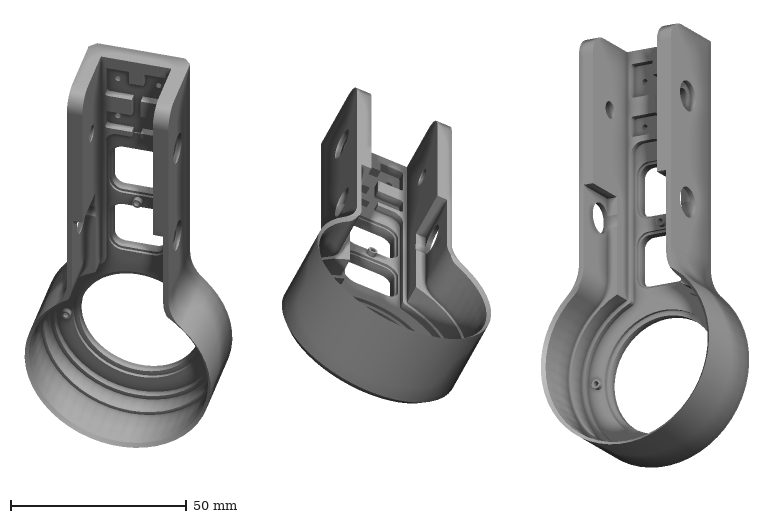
import cadquery as cq
import math


TOTAL_HEIGHT = 125.5
DEPTH = 25.5
RING_RADIUS = 27.5
ARM_WIDTH = 30.0
ARM_HALF_WIDTH = ARM_WIDTH / 2
ARM_TOP = TOTAL_HEIGHT - RING_RADIUS
NECK_RADIUS = 12.5
BACK_CHAMFER = 2.0
WALL_CORNER_RADIUS = 6.0

SHELL_ARM_WALL = 1.5
SHELL_RING_WALL = 1.0
SHELL_NECK_RADIUS = 10.0
SHELL_FLOOR = 11.4
SHELL_TOP = 52.6
CAVITY_HALF_WIDTH = 10.4
CAVITY_RADIUS = 25.5
CAVITY_FLOOR = 5.5
RECESS_MARGIN = 1.3
RECESS_DEPTH = 2.0
RECESS_FLOOR = CAVITY_FLOOR - RECESS_DEPTH
RECESS_TOP = 70.4
RECESS_CORNER_RADIUS = 3.5

OPENING_DIAMETER = 35.3
OPENING_STEP_DIAMETER = 38.3
OPENING_STEP_DEPTH = 1.0

WINDOW_SIZE = 15.5
WINDOW_CORNER_RADIUS = 3.3
WINDOW_STEP = 0.8
WINDOW_STEP_DEPTH = 0.8
WINDOW_HEIGHTS = (35.0, 56.1)

BOSS_DIAMETER = 2.8
BOSS_LENGTH = 1.5
BOSS_END = RECESS_FLOOR + BOSS_LENGTH
PILOT_DIAMETER = 1.6
PILOT_DEPTH = 3.0
BOSS_SIDE_OFFSET = 21.0
BOSS_ARM_HEIGHT = sum(WINDOW_HEIGHTS) / len(WINDOW_HEIGHTS)

POCKET_DEPTH = 2.4
POCKET_FLOOR = CAVITY_FLOOR - POCKET_DEPTH
POCKET_CORNER_RADIUS = 0.8
UPPER_POCKET = (84.0, 94.1)
LOWER_POCKET = (72.2, 78.3)
CHANNEL_WIDTH = 2.6
TAB_WIDTH = 4.3
TAB_LENGTH = 4.3
PIN_HOLE_DIAMETER = 1.8
PIN_HOLE_DEPTH = 2.0
PIN_HOLE_OFFSET = 6.0
PIN_HOLE_HEIGHTS = (75.3, 89.0)

CROSS_HOLE_DEPTH = 15.5
BOLT_HEIGHT = 77.5
BOLT_DIAMETER = 5.1
BOLT_HEAD_DIAMETER = 9.0
BOLT_HEAD_DEPTH = 1.5
PASSAGE_HEIGHT = BOSS_ARM_HEIGHT
PASSAGE_DIAMETER = 9.0


def plane_at(depth):
    """Sketch plane parallel to the back face, with local axes +X and +Z, extruding toward -Y."""
    return cq.Workplane("XZ", origin=(0, -depth, 0))


def block(half_width, bottom, top, start, end):
    """Symmetric box between two heights and two depths."""
    return (
        plane_at(start)
        .center(0, (bottom + top) / 2)
        .rect(2 * half_width, top - bottom)
        .extrude(end - start)
    )


def cylinders(points, diameter, start, end):
    """Cylinders along Y between two depths, one at each (x, z) point."""
    return plane_at(start).pushPoints(points).circle(diameter / 2).extrude(end - start)


def necked_outline(half_width, ring_radius, neck_radius, top, depth):
    """Ring and arm blended by concave neck arcs that are tangent to both."""
    neck_x = half_width + neck_radius
    neck_z = math.sqrt((ring_radius + neck_radius) ** 2 - neck_x**2)
    to_ring = ring_radius / (ring_radius + neck_radius)
    ring_x = neck_x * to_ring
    ring_z = neck_z * to_ring
    half_sweep = math.atan2(neck_z, neck_x) / 2
    mid_x = neck_x - neck_radius * math.cos(half_sweep)
    mid_z = neck_z - neck_radius * math.sin(half_sweep)
    return (
        plane_at(depth)
        .moveTo(-half_width, top)
        .lineTo(-half_width, neck_z)
        .threePointArc((-mid_x, mid_z), (-ring_x, ring_z))
        .threePointArc((0, -ring_radius), (ring_x, ring_z))
        .threePointArc((mid_x, mid_z), (half_width, neck_z))
        .lineTo(half_width, top)
        .close()
    )


def keyhole_outline(half_width, ring_radius, top, depth):
    """Ring and arm meeting at sharp corners."""
    corner_z = math.sqrt(ring_radius**2 - half_width**2)
    return (
        plane_at(depth)
        .moveTo(-half_width, top)
        .lineTo(-half_width, corner_z)
        .threePointArc((0, -ring_radius), (half_width, corner_z))
        .lineTo(half_width, top)
        .close()
    )


def make_body():
    body = necked_outline(ARM_HALF_WIDTH, RING_RADIUS, NECK_RADIUS, ARM_TOP, 0).extrude(DEPTH)
    return body.edges(">Y and (not >Z)").chamfer(BACK_CHAMFER)


def make_interior():
    """Cavity, thin-walled shell zone and floor recess."""
    shell = necked_outline(
        ARM_HALF_WIDTH - SHELL_ARM_WALL,
        RING_RADIUS - SHELL_RING_WALL,
        SHELL_NECK_RADIUS,
        SHELL_TOP,
        SHELL_FLOOR,
    ).extrude(DEPTH - SHELL_FLOOR)
    cavity = keyhole_outline(CAVITY_HALF_WIDTH, CAVITY_RADIUS, ARM_TOP, CAVITY_FLOOR).extrude(
        DEPTH - CAVITY_FLOOR
    )
    recess = (
        keyhole_outline(CAVITY_HALF_WIDTH, CAVITY_RADIUS, RECESS_TOP + RECESS_MARGIN, RECESS_FLOOR)
        .offset2D(-RECESS_MARGIN)
        .extrude(RECESS_DEPTH)
        .edges("|Y and >Z")
        .fillet(RECESS_CORNER_RADIUS)
    )
    return cavity.union(shell).union(recess)


def make_opening():
    bore = cylinders([(0, 0)], OPENING_DIAMETER, 0, RECESS_FLOOR)
    step = cylinders([(0, 0)], OPENING_STEP_DIAMETER, RECESS_FLOOR - OPENING_STEP_DEPTH, RECESS_FLOOR)
    return bore.union(step)


def make_window(height):
    half = WINDOW_SIZE / 2
    hole = block(half, height - half, height + half, 0, RECESS_FLOOR)
    hole = hole.edges("|Y").fillet(WINDOW_CORNER_RADIUS)
    half += WINDOW_STEP
    step = block(half, height - half, height + half, RECESS_FLOOR - WINDOW_STEP_DEPTH, RECESS_FLOOR)
    step = step.edges("|Y").fillet(WINDOW_CORNER_RADIUS + WINDOW_STEP)
    return hole.union(step)


def boss_points():
    return [(-BOSS_SIDE_OFFSET, 0), (BOSS_SIDE_OFFSET, 0), (0, BOSS_ARM_HEIGHT)]


def make_bosses():
    return cylinders(boss_points(), BOSS_DIAMETER, RECESS_FLOOR, BOSS_END)


def make_pilot_holes():
    return cylinders(boss_points(), PILOT_DIAMETER, BOSS_END - PILOT_DEPTH, BOSS_END)


def make_rim_bevel():
    """Cone that bevels the inner edge of the ring's front rim out to a sharp edge."""
    return (
        plane_at(DEPTH)
        .circle(RING_RADIUS)
        .workplane(offset=-SHELL_RING_WALL)
        .circle(RING_RADIUS - SHELL_RING_WALL)
        .loft(ruled=True)
    )


def make_pockets():
    half_width = CAVITY_HALF_WIDTH - RECESS_MARGIN
    pockets = block(CHANNEL_WIDTH / 2, RECESS_TOP, UPPER_POCKET[0], POCKET_FLOOR, CAVITY_FLOOR)
    for bottom, top in (UPPER_POCKET, LOWER_POCKET):
        pocket = block(half_width, bottom, top, POCKET_FLOOR, CAVITY_FLOOR)
        pockets = pockets.union(pocket.edges("|Y").fillet(POCKET_CORNER_RADIUS))
    tab = block(TAB_WIDTH / 2, UPPER_POCKET[1] - TAB_LENGTH, UPPER_POCKET[1], POCKET_FLOOR, CAVITY_FLOOR)
    points = [(side * PIN_HOLE_OFFSET, z) for side in (-1, 1) for z in PIN_HOLE_HEIGHTS]
    pin_holes = cylinders(points, PIN_HOLE_DIAMETER, POCKET_FLOOR - PIN_HOLE_DEPTH, POCKET_FLOOR)
    return pockets.cut(tab).union(pin_holes)


def cross_cylinder(diameter, height, half_length):
    """Cylinder along X, centred on the part."""
    return (
        cq.Workplane("YZ", origin=(-half_length, -CROSS_HOLE_DEPTH, height))
        .circle(diameter / 2)
        .extrude(2 * half_length)
    )


def make_cross_holes():
    """Bolt hole counterbored from both outer sides, and a plain passage below it."""
    bolt = cross_cylinder(BOLT_DIAMETER, BOLT_HEIGHT, ARM_HALF_WIDTH)
    heads = cross_cylinder(BOLT_HEAD_DIAMETER, BOLT_HEIGHT, ARM_HALF_WIDTH)
    heads = heads.cut(cross_cylinder(BOLT_HEAD_DIAMETER, BOLT_HEIGHT, ARM_HALF_WIDTH - BOLT_HEAD_DEPTH))
    passage = cross_cylinder(PASSAGE_DIAMETER, PASSAGE_HEIGHT, ARM_HALF_WIDTH)
    return bolt.union(heads).union(passage)


part = make_body().cut(make_interior()).cut(make_rim_bevel()).cut(make_opening())
for window_height in WINDOW_HEIGHTS:
    part = part.cut(make_window(window_height))
part = part.union(make_bosses()).cut(make_pilot_holes())
part = part.cut(make_pockets()).cut(make_cross_holes())

result = part.edges("|X and >Z and <Y").fillet(WALL_CORNER_RADIUS)